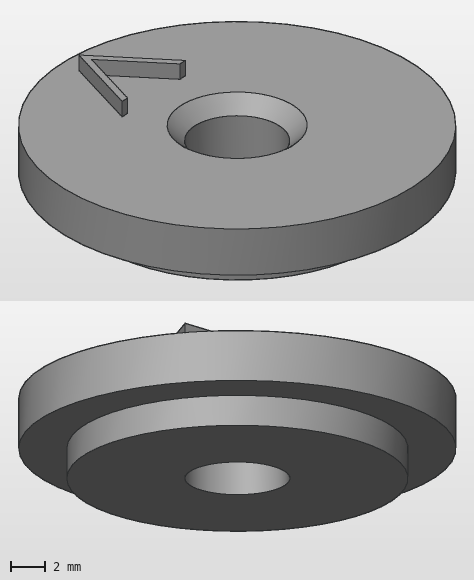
import cadquery as cq
import math

flange_diameter = 25.0
flange_thickness = 3.0
boss_diameter = 19.5
boss_height = 1.8
flange_top = boss_height + flange_thickness

hole_diameter = 6.0
countersink_diameter = 8.0
countersink_depth = (countersink_diameter - hole_diameter) / 2

arrow_height = 1.0
arrow_tip_x = -11.2
arrow_end_x = -5.9
arrow_half_angle = math.radians(30)
arrow_stroke_width = 0.45


def make_disc():
    boss = cq.Workplane("XY").circle(boss_diameter / 2).extrude(boss_height)
    flange = (
        cq.Workplane("XY")
        .workplane(offset=boss_height)
        .circle(flange_diameter / 2)
        .extrude(flange_thickness)
    )
    return boss.union(flange)


def cut_countersunk_hole(body):
    hole = cq.Workplane("XY").circle(hole_diameter / 2).extrude(flange_top)
    countersink = (
        cq.Workplane("XY")
        .workplane(offset=flange_top - countersink_depth)
        .circle(hole_diameter / 2)
        .workplane(offset=countersink_depth)
        .circle(countersink_diameter / 2)
        .loft(ruled=True)
    )
    return body.cut(hole).cut(countersink)


def make_arrow():
    inner_tip_x = arrow_tip_x + arrow_stroke_width / math.sin(arrow_half_angle)
    outer_end_y = (arrow_end_x - arrow_tip_x) * math.tan(arrow_half_angle)
    inner_end_y = (arrow_end_x - inner_tip_x) * math.tan(arrow_half_angle)
    outline = [
        (arrow_tip_x, 0),
        (arrow_end_x, -outer_end_y),
        (arrow_end_x, -inner_end_y),
        (inner_tip_x, 0),
        (arrow_end_x, inner_end_y),
        (arrow_end_x, outer_end_y),
    ]
    return (
        cq.Workplane("XY")
        .workplane(offset=flange_top)
        .polyline(outline)
        .close()
        .extrude(arrow_height)
    )


result = cut_countersunk_hole(make_disc()).union(make_arrow())